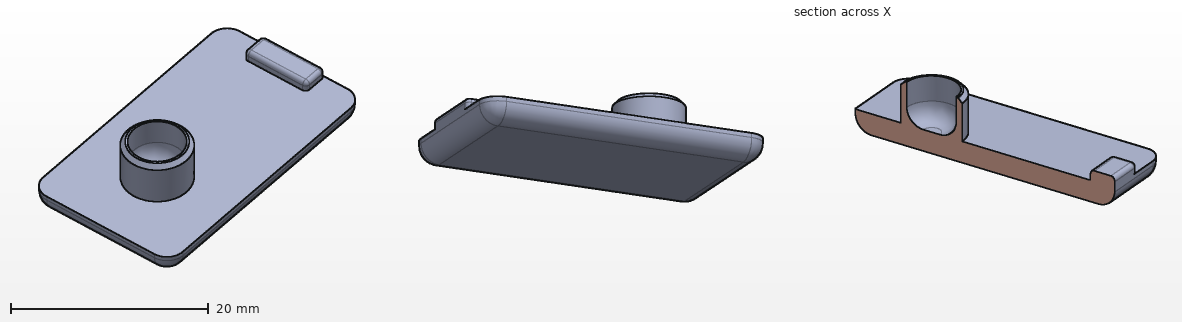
import cadquery as cq

plate_length = 31.5
plate_width = 18.0
plate_thickness = 2.5
plate_corner_radius = 2.05
plate_rim_radius = 2.02

total_height = 7.3
boss_height = total_height - plate_thickness
boss_diameter = 7.5
boss_chamfer = 0.5
boss_center_y = 9.25 - plate_length / 2
bore_diameter = 6.0
bore_floor_radius = 2.0

tab_width = 8.0
tab_depth = 3.0
tab_height = 1.2
tab_edge_radius = 0.5
tab_center_y = (plate_length - tab_depth) / 2


def make_plate():
    """Plate with its underside at Z = 0."""
    block = cq.Workplane("XY").box(
        plate_width, plate_length, plate_thickness, centered=(True, True, False)
    )
    return block.edges("|Z").fillet(plate_corner_radius).faces("<Z").edges().fillet(plate_rim_radius)


def make_boss():
    """Boss with a chamfered outer rim."""
    return (
        cq.Workplane("XY", origin=(0, boss_center_y, plate_thickness))
        .circle(boss_diameter / 2)
        .extrude(boss_height)
        .faces(">Z")
        .edges()
        .chamfer(boss_chamfer)
    )


def make_bore():
    """Blind bore down to the plate top, with a rounded floor edge."""
    return (
        cq.Workplane("XY", origin=(0, boss_center_y, plate_thickness))
        .circle(bore_diameter / 2)
        .extrude(boss_height)
        .faces("<Z")
        .edges()
        .fillet(bore_floor_radius)
    )


def make_tab():
    """Tab with rounded vertical and top edges."""
    block = cq.Workplane("XY", origin=(0, tab_center_y, plate_thickness)).box(
        tab_width, tab_depth, tab_height, centered=(True, True, False)
    )
    return block.edges("|Z or >Z").fillet(tab_edge_radius)


hollow_boss = make_boss().cut(make_bore())
result = make_plate().union(hollow_boss).union(make_tab())